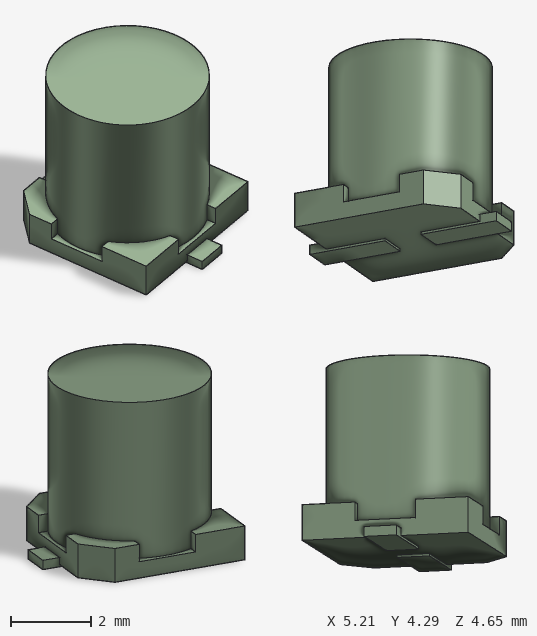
import cadquery as cq

total_length = 5.21
total_height = 4.65

base_width = 4.29
base_bottom = 0.06
base_top = 0.965
corner_chamfer = 0.695
notch_width = 1.56
notch_floor = 0.5

can_diameter = 4.075

lead_width = 0.83
lead_height = 0.25
lead_gap = 1.0
lead_length = (total_length - lead_gap) / 2


def make_can():
    """Plain cylinder standing on the floor of the base recess."""
    return (
        cq.Workplane("XY", origin=(0, 0, notch_floor))
        .circle(can_diameter / 2)
        .extrude(total_height - notch_floor)
    )


def make_lead(side):
    """Flat terminal under the base; side is -1 or +1 along X."""
    center_x = side * (lead_gap + lead_length) / 2
    return (
        cq.Workplane("XY", origin=(center_x, 0, 0))
        .rect(lead_length, lead_width)
        .extrude(lead_height)
    )


def make_base(can, leads):
    """Square base with two chamfered corners, four side notches, and seats for the can and leads."""
    base = (
        cq.Workplane("XY", origin=(0, 0, base_bottom))
        .rect(base_width, base_width)
        .extrude(base_top - base_bottom)
        .edges("|Z and <X")
        .chamfer(corner_chamfer)
    )
    channels = cq.Workplane("XY", origin=(0, 0, notch_floor))
    for size_x, size_y in ((base_width, notch_width), (notch_width, base_width)):
        base = base.cut(channels.rect(size_x, size_y).extrude(base_top - notch_floor))
    base = base.cut(can)
    for lead in leads:
        base = base.cut(lead)
    return base


can = make_can()
leads = [make_lead(side) for side in (-1, 1)]
base = make_base(can, leads)

result = cq.Compound.makeCompound([base.val(), can.val(), *[lead.val() for lead in leads]])